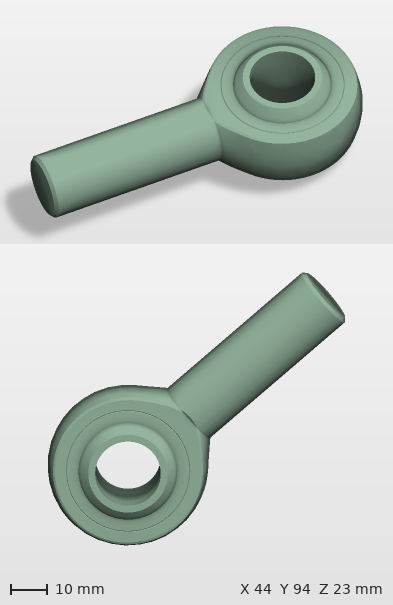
import cadquery as cq
import math


total_length = 94.0
head_radius = 22.0
head_height = 16.5
head_edge_chamfer = 0.4
shank_diameter = 18.0
shank_end_chamfer = 0.9
neck_angle = 45.0

race_diameter = 33.7
race_edge_chamfer = 0.2
ball_diameter = 31.7
ball_height = 23.0
bore_diameter = 18.0

shank_radius = shank_diameter / 2
half_head = head_height / 2
shank_end_y = head_radius - total_length
tangent_x = head_radius * math.cos(math.radians(neck_angle))
tangent_y = -head_radius * math.sin(math.radians(neck_angle))
shank_start_y = tangent_y - (tangent_x - shank_radius) / math.tan(math.radians(neck_angle))
slab_size = 4 * head_radius


def head_with_neck():
    """Spherical head and tangent cone down to the shank, cut flat on both faces and chamfered."""
    blank = (
        cq.Workplane("XY")
        .moveTo(0, head_radius)
        .threePointArc((head_radius, 0), (tangent_x, tangent_y))
        .lineTo(shank_radius, shank_start_y)
        .lineTo(0, shank_start_y)
        .close()
        .revolve(360, (0, 0, 0), (0, 1, 0))
    )
    slab = cq.Workplane("XY").box(slab_size, slab_size, head_height)
    return blank.intersect(slab).faces("|Z").edges("not(|X)").chamfer(head_edge_chamfer)


def shank():
    """Round shank whose root slopes at 45 degrees down to each face of the head."""
    rod = (
        cq.Workplane("XZ", origin=(0, shank_start_y, 0))
        .circle(shank_radius)
        .extrude(shank_start_y - shank_end_y)
        .faces("<Y")
        .chamfer(shank_end_chamfer)
    )
    root_rise = shank_radius - half_head
    upper_cutter = (
        cq.Workplane("YZ", origin=(-shank_radius, 0, 0))
        .moveTo(shank_start_y, half_head)
        .lineTo(shank_start_y, half_head + root_rise)
        .lineTo(shank_start_y - root_rise, half_head + root_rise)
        .close()
        .extrude(shank_diameter)
    )
    return rod.cut(upper_cutter).cut(upper_cutter.mirror("XY"))


def race_blank():
    """Plain cylinder of the race, as high as the head."""
    return cq.Workplane("XY").cylinder(head_height, race_diameter / 2)


def seat_cutter():
    """Race seat, flared at both mouths by the edge chamfer."""
    seat_radius = race_diameter / 2
    flare_start = half_head - race_edge_chamfer
    return (
        cq.Workplane("XZ")
        .moveTo(0, -half_head)
        .lineTo(seat_radius + race_edge_chamfer, -half_head)
        .lineTo(seat_radius, -flare_start)
        .lineTo(seat_radius, flare_start)
        .lineTo(seat_radius + race_edge_chamfer, half_head)
        .lineTo(0, half_head)
        .close()
        .revolve(360, (0, 0, 0), (0, 1, 0))
    )


def make_housing():
    return head_with_neck().union(shank()).cut(seat_cutter())


def make_race():
    race = race_blank().edges("%CIRCLE").chamfer(race_edge_chamfer)
    return race.cut(cq.Workplane("XY").sphere(ball_diameter / 2))


def make_ball():
    slab = cq.Workplane("XY").box(slab_size, slab_size, ball_height)
    bore = cq.Workplane("XY").cylinder(ball_height, bore_diameter / 2)
    return cq.Workplane("XY").sphere(ball_diameter / 2).intersect(slab).cut(bore)


housing = make_housing()
race = make_race()
ball = make_ball()

result = cq.Compound.makeCompound([body.solids().val() for body in (housing, race, ball)])